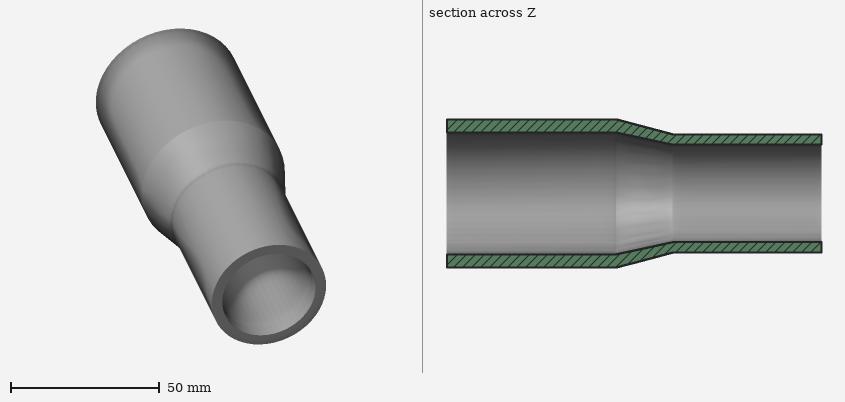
import cadquery as cq

total_length = 126.0
large_length = 57.0
small_length = 50.0
large_diameter = 50.0
small_diameter = 40.0
large_bore = 40.8
small_bore = 32.6

cone_start = large_length
cone_end = total_length - small_length


def stepped_solid(start_diameter, end_diameter):
    """Solid of revolution about X: cylinder, cone, smaller cylinder."""
    start_radius = start_diameter / 2
    end_radius = end_diameter / 2
    return (
        cq.Workplane("XY")
        .moveTo(0, 0)
        .lineTo(0, start_radius)
        .lineTo(cone_start, start_radius)
        .lineTo(cone_end, end_radius)
        .lineTo(total_length, end_radius)
        .lineTo(total_length, 0)
        .close()
        .revolve(360, (0, 0, 0), (1, 0, 0))
    )


outer_body = stepped_solid(large_diameter, small_diameter)
bore = stepped_solid(large_bore, small_bore)
result = outer_body.cut(bore)